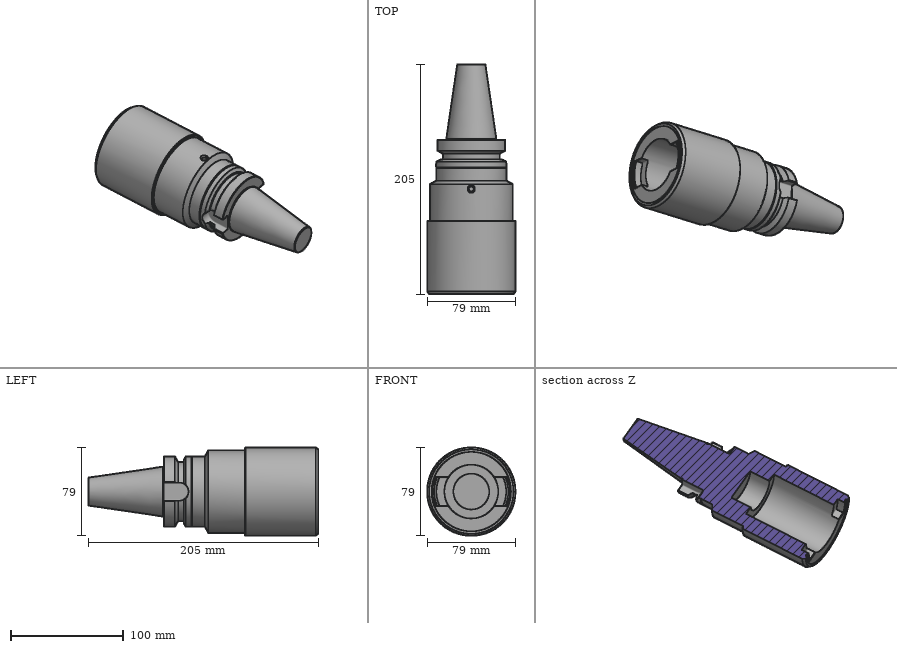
import cadquery as cq
import math


TOTAL_LENGTH = 205.0
TAPER_LENGTH = 65.4
TAPER_RATIO = 7 / 24
GAUGE_Y = TOTAL_LENGTH - TAPER_LENGTH
GAUGE_RADIUS = 44.45 / 2
TAIL_RADIUS = GAUGE_RADIUS - TAPER_LENGTH * TAPER_RATIO / 2
TAIL_CHAMFER = 0.6
GAUGE_LAND = 1.0
NECK_RADIUS = 21.6

FLANGE_RADIUS = 31.5
FLANGE_CHAMFER = 0.4
FLANGE_GAP = 2.0
FLANGE_WIDTH = 9.7
FLANGE_Y = GAUGE_Y - FLANGE_GAP
FLANGE_BACK_Y = FLANGE_Y - FLANGE_WIDTH
GRIP_GROOVE_RADIUS = 26.6
GRIP_GROOVE_WIDTH = 5.0
GRIP_CONE_SLOPE = math.tan(math.radians(60))
GRIP_GROOVE_REAR_Y = FLANGE_BACK_Y - (FLANGE_RADIUS - GRIP_GROOVE_RADIUS) / GRIP_CONE_SLOPE
GRIP_GROOVE_FRONT_Y = GRIP_GROOVE_REAR_Y - GRIP_GROOVE_WIDTH
COLLAR_CONE_HEIGHT = 3.3
COLLAR_REAR_Y = GRIP_GROOVE_FRONT_Y - COLLAR_CONE_HEIGHT / GRIP_CONE_SLOPE
COLLAR_WIDTH = 5.0
COLLAR_FRONT_Y = COLLAR_REAR_Y - COLLAR_WIDTH
RELIEF_GROOVE_WIDTH = 0.9
RELIEF_GROOVE_DEPTH = 0.25
RELIEF_GROOVE_RADIUS = FLANGE_RADIUS - RELIEF_GROOVE_DEPTH
RELIEF_GROOVE_FRONT_Y = COLLAR_FRONT_Y - RELIEF_GROOVE_WIDTH

BODY_RADIUS = 37.0
BODY_Y = 98.0
BODY_CONE_LENGTH = 3.1
NUT_RADIUS = 39.5
NUT_LENGTH = 65.6
NUT_REAR_CHAMFER = 0.8
NUT_FRONT_CHAMFER_LENGTH = 2.5
NUT_FACE_RADIUS = 37.6
FACE_RECESS_RADIUS = 35.4
FACE_RECESS_DEPTH = 0.4

BORE_RADIUS = 24.0
BORE_DEPTH = 70.0
INNER_BORE_RADIUS = 16.0
INNER_BORE_DEPTH = 90.0

FACE_SLOT_WIDTH = 25.4
FACE_SLOT_DEPTH = 8.0
FACE_SLOT_RADIUS = 31.1
FACE_SLOT_FILLET = 1.2
FACE_SLOT_CHAMFER = 0.4
LEDGE_DEPTH = 0.8
RING_GROOVE_DEPTH = 1.8
RING_GROOVE_INNER_RADIUS = 33.0
RING_GROOVE_OUTER_RADIUS = 34.5

KEYWAY_WIDTH = 16.1
KEYWAY_FLOOR_X = 22.6
KEYWAY_LENGTH = 21.9
KEYWAY_FILLET = 1.0
KEYWAY_CHAMFER_START_X = 29.6

SCREW_Y = 93.7
SCREW_COUNTERSINK_RADIUS = 3.4
SCREW_COUNTERSINK_DEPTH = 1.6
SCREW_HOLE_RADIUS = 2.2
SCREW_HOLE_DEPTH = 6.0

CUT_CLEARANCE = 1.0


def make_body():
    """Revolve the outer outline, given as (radius, Y) from the front face to the tail."""
    outline = [
        (0, 0),
        (NUT_FACE_RADIUS, 0),
        (NUT_RADIUS, NUT_FRONT_CHAMFER_LENGTH),
        (NUT_RADIUS, NUT_LENGTH - NUT_REAR_CHAMFER),
        (NUT_RADIUS - NUT_REAR_CHAMFER, NUT_LENGTH),
        (BODY_RADIUS, NUT_LENGTH),
        (BODY_RADIUS, BODY_Y),
        (FLANGE_RADIUS, BODY_Y + BODY_CONE_LENGTH),
        (FLANGE_RADIUS, RELIEF_GROOVE_FRONT_Y),
        (RELIEF_GROOVE_RADIUS, RELIEF_GROOVE_FRONT_Y),
        (RELIEF_GROOVE_RADIUS, COLLAR_FRONT_Y),
        (FLANGE_RADIUS, COLLAR_FRONT_Y),
        (FLANGE_RADIUS, COLLAR_REAR_Y),
        (FLANGE_RADIUS - COLLAR_CONE_HEIGHT, GRIP_GROOVE_FRONT_Y),
        (GRIP_GROOVE_RADIUS, GRIP_GROOVE_FRONT_Y),
        (GRIP_GROOVE_RADIUS, GRIP_GROOVE_REAR_Y),
        (FLANGE_RADIUS, FLANGE_BACK_Y),
        (FLANGE_RADIUS, FLANGE_Y - FLANGE_CHAMFER),
        (FLANGE_RADIUS - FLANGE_CHAMFER, FLANGE_Y),
        (NECK_RADIUS, FLANGE_Y),
        (NECK_RADIUS, GAUGE_Y - GAUGE_LAND),
        (GAUGE_RADIUS, GAUGE_Y - GAUGE_LAND),
        (GAUGE_RADIUS, GAUGE_Y),
        (TAIL_RADIUS, TOTAL_LENGTH - TAIL_CHAMFER),
        (TAIL_RADIUS - TAIL_CHAMFER, TOTAL_LENGTH),
        (0, TOTAL_LENGTH),
    ]
    return cq.Workplane("XY").polyline(outline).close().revolve(360, (0, 0), (0, 1))


def front_cylinder(radius, depth):
    """Cylinder on the axis, reaching from the front face to the given depth."""
    return cq.Workplane("XZ").circle(radius).extrude(-depth)


def bore():
    return front_cylinder(BORE_RADIUS, BORE_DEPTH).union(front_cylinder(INNER_BORE_RADIUS, INNER_BORE_DEPTH))


def face_slots():
    """One bar across the face, with filleted floor and chamfered mouth, stepped in depth by radius."""
    half = FACE_SLOT_WIDTH / 2
    mouth_half = half + FACE_SLOT_CHAMFER
    chamfer_y = FACE_RECESS_DEPTH + FACE_SLOT_CHAMFER
    bar = (
        cq.Workplane("YZ", origin=(-NUT_RADIUS, 0, 0))
        .polyline([
            (0, -mouth_half),
            (FACE_RECESS_DEPTH, -mouth_half),
            (chamfer_y, -half),
            (FACE_SLOT_DEPTH, -half),
            (FACE_SLOT_DEPTH, half),
            (chamfer_y, half),
            (FACE_RECESS_DEPTH, mouth_half),
            (0, mouth_half),
        ])
        .close()
        .extrude(2 * NUT_RADIUS)
        .edges("|X and >Y")
        .fillet(FACE_SLOT_FILLET)
    )
    ring_groove = front_cylinder(RING_GROOVE_OUTER_RADIUS, RING_GROOVE_DEPTH).cut(
        front_cylinder(RING_GROOVE_INNER_RADIUS, RING_GROOVE_DEPTH)
    )
    steps = (
        front_cylinder(FACE_SLOT_RADIUS, FACE_SLOT_DEPTH)
        .union(front_cylinder(FACE_RECESS_RADIUS, LEDGE_DEPTH))
        .union(ring_groove)
    )
    return bar.intersect(steps)


def keyway():
    """Round-ended keyway on the +X side, with its long edges chamfered where it crosses the flange."""
    half = KEYWAY_WIDTH / 2
    end_y = FLANGE_Y - KEYWAY_LENGTH
    open_y = FLANGE_Y + CUT_CLEARANCE
    top_x = FLANGE_RADIUS + CUT_CLEARANCE
    slot = (
        cq.Workplane("YZ", origin=(KEYWAY_FLOOR_X, 0, 0))
        .moveTo(open_y, -half)
        .lineTo(end_y + half, -half)
        .threePointArc((end_y, 0), (end_y + half, half))
        .lineTo(open_y, half)
        .close()
        .extrude(top_x - KEYWAY_FLOOR_X)
        .faces("<X")
        .edges("not >Y")
        .fillet(KEYWAY_FILLET)
    )
    top_half = half + top_x - KEYWAY_CHAMFER_START_X
    chamfer = (
        cq.Workplane("XZ", origin=(0, open_y, 0))
        .polyline([
            (KEYWAY_CHAMFER_START_X, -half),
            (top_x, -top_half),
            (top_x, top_half),
            (KEYWAY_CHAMFER_START_X, half),
        ])
        .close()
        .extrude(open_y - GRIP_GROOVE_REAR_Y)
    )
    return slot.union(chamfer)


def screw_hole():
    """Countersink and blind hole, revolved about a line parallel to Z."""
    floor_z = BODY_RADIUS - SCREW_HOLE_DEPTH
    profile = [
        (0, floor_z),
        (SCREW_HOLE_RADIUS, floor_z),
        (SCREW_HOLE_RADIUS, BODY_RADIUS - SCREW_COUNTERSINK_DEPTH),
        (SCREW_COUNTERSINK_RADIUS, BODY_RADIUS),
        (0, BODY_RADIUS),
    ]
    return (
        cq.Workplane("XZ", origin=(0, SCREW_Y, 0))
        .polyline(profile)
        .close()
        .revolve(360, (0, 0), (0, 1))
    )


result = (
    make_body()
    .cut(front_cylinder(FACE_RECESS_RADIUS, FACE_RECESS_DEPTH))
    .cut(bore())
    .cut(face_slots())
    .cut(keyway())
    .cut(keyway().mirror("YZ"))
    .cut(screw_hole())
)